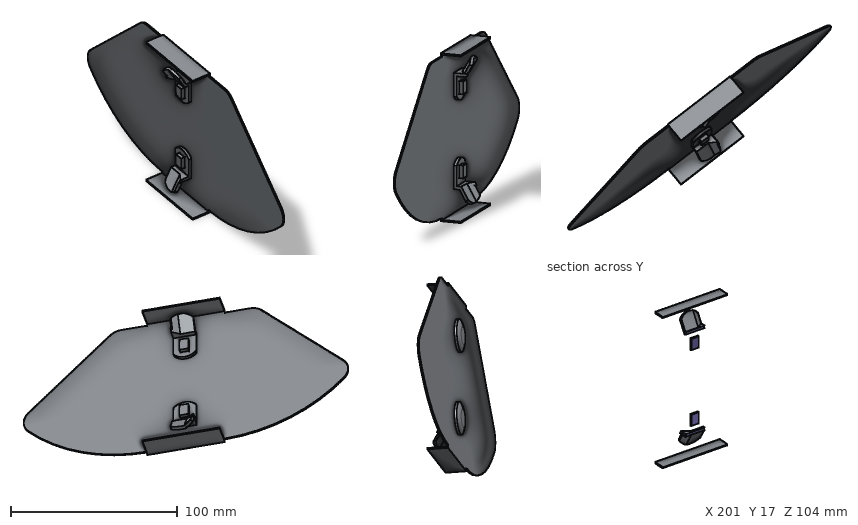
import cadquery as cq
import math

plate_thickness = 1.0
plate_half_height = 50.0
top_half_width = 44.0
side_slope_angle = 45.0
bottom_arc_radius = 100.0
corner_radius = 10.0

flange_width = 48.0
flange_tab_height = 2.0
flange_depth = 12.8
flange_thickness = 1.0

lock_height = 26.0
lock_clearance = 0.5
knob_radius = 10.0
knob_thickness = 3.0
knob_rim = 1.5
knob_flat_radius = 5.5
shaft_width = 5.5
shaft_height = 8.0
shaft_projection = 2.5

lever_width = 14.0
lever_thickness = 2.0
lever_end_radius = 9.0
lever_inner_length = 8.0
lever_outer_length = 10.0
lever_reach = 2.9
tongue_angle = 30.0
tongue_length = 12.45
crease_x = 2.0
wing_angle = 30.0

flange_half_width = flange_width / 2
flange_end_height = plate_half_height + flange_tab_height
lever_half_width = lever_width / 2
lever_back = -plate_thickness - lock_clearance
lever_front = lever_back - lever_thickness
shaft_front = lever_front - shaft_projection
knob_front = lock_clearance
knob_back = knob_front + knob_thickness

lever_end_sag = lever_end_radius - math.sqrt(lever_end_radius ** 2 - lever_half_width ** 2)

trim_size = 4 * lever_width

arm_top = lever_thickness - lever_outer_length
tongue_origin = (0, lever_front - lever_reach, arm_top)
tongue_slope = math.radians(tongue_angle)
tongue_direction = (0, -math.sin(tongue_slope), -math.cos(tongue_slope))
tongue_normal = (0, -math.cos(tongue_slope), math.sin(tongue_slope))

wing_fold = math.radians(wing_angle)
wing_run = lever_half_width - lever_thickness * math.sin(wing_fold) - crease_x
wing_rise = wing_run * math.tan(wing_fold)
wing_back = wing_rise - lever_thickness * math.cos(wing_fold)


def side_corner():
    """Point where the sloped side meets the bottom arc, on the +x half."""
    slope = math.radians(side_slope_angle)
    offset = top_half_width - flange_half_width
    along = -offset * math.cos(slope) + math.sqrt(
        bottom_arc_radius ** 2 - (offset * math.sin(slope)) ** 2
    )
    x = top_half_width + along * math.cos(slope)
    z = plate_half_height - along * math.sin(slope)
    return x, z


def arc_middle(end_x, end_z):
    """Midpoint of the bottom arc from the flange corner to the side corner."""
    run = end_x - flange_half_width
    drop = plate_half_height - end_z
    angle = math.atan2(run, drop) / 2
    x = flange_half_width + bottom_arc_radius * math.sin(angle)
    z = plate_half_height - bottom_arc_radius * math.cos(angle)
    return x, z


def make_plate():
    """Face plate with its two flanges and the shaft holes."""
    corner_x, corner_z = side_corner()
    middle_x, middle_z = arc_middle(corner_x, corner_z)
    sheet = (
        cq.Workplane("XZ")
        .moveTo(-top_half_width, plate_half_height)
        .lineTo(top_half_width, plate_half_height)
        .lineTo(corner_x, corner_z)
        .threePointArc((middle_x, middle_z), (flange_half_width, -plate_half_height))
        .lineTo(-flange_half_width, -plate_half_height)
        .threePointArc((-middle_x, middle_z), (-corner_x, corner_z))
        .close()
        .extrude(plate_thickness)
    )
    outer_edges = sheet.edges("|Y").edges("<X or >X or >Z")
    sheet = outer_edges.fillet(corner_radius)
    channel = cq.Workplane("XY").box(
        flange_width, flange_depth, 2 * flange_end_height, centered=(True, False, True)
    ).translate((0, -flange_depth, 0))
    hollow = cq.Workplane("XY").box(
        flange_width,
        flange_depth,
        2 * (flange_end_height - flange_thickness),
        centered=(True, False, True),
    ).translate((0, -flange_depth - plate_thickness, 0))
    plate = sheet.union(channel.cut(hollow))
    for z in (lock_height, -lock_height):
        plate = plate.cut(make_shaft().translate((0, 0, z)))
    return plate


def make_shaft():
    """Square shaft on the lock axis, from the knob to in front of the lever."""
    length = knob_front - shaft_front
    return cq.Workplane("XY").box(
        shaft_width, length, shaft_height, centered=(True, False, True)
    ).translate((0, shaft_front, 0))


def make_knob():
    """Domed knob with its shaft, on an axis along Y."""
    rim_back = knob_front + knob_rim
    dome_rise = knob_thickness - knob_rim
    dome_width = knob_radius - knob_flat_radius
    dome_radius = (dome_width ** 2 + dome_rise ** 2) / (2 * dome_rise)
    half_angle = math.asin(dome_width / dome_radius) / 2
    middle = (
        knob_flat_radius + dome_radius * math.sin(half_angle),
        knob_back - dome_radius * (1 - math.cos(half_angle)),
    )
    head = (
        cq.Workplane("XY")
        .moveTo(0, knob_front)
        .lineTo(knob_radius, knob_front)
        .lineTo(knob_radius, rim_back)
        .threePointArc(middle, (knob_flat_radius, knob_back))
        .lineTo(0, knob_back)
        .close()
        .revolve(360, (0, 0), (0, 1))
    )
    return head.union(make_shaft())


def rounded_strip(plane, start, end, thickness, both=False):
    """Strip of lever width from y = start to an arc-shaped end peaking at y = end on the plane."""
    toward_start = math.copysign(lever_end_sag, start - end)
    return (
        cq.Workplane(plane)
        .moveTo(-lever_half_width, start)
        .lineTo(-lever_half_width, end + toward_start)
        .threePointArc((0, end), (lever_half_width, end + toward_start))
        .lineTo(lever_half_width, start)
        .close()
        .extrude(thickness, both=both)
    )


def folded_prism(wing_width, back_points, start, end):
    """Prism along the tongue whose front is the flat strip and the folded wing."""
    front_points = [
        (-lever_half_width, 0),
        (crease_x, 0),
        (crease_x + wing_width, wing_width * math.tan(wing_fold)),
    ]
    plane = cq.Plane(tongue_origin, xDir=(1, 0, 0), normal=tongue_direction)
    section = cq.Workplane(plane).workplane(offset=start).polyline(front_points + back_points)
    return section.close().extrude(end - start)


def make_tongue():
    """Folded sheet sloping forward and down from the arm, with a rounded end."""
    fold_shift = lever_thickness * math.tan(wing_fold / 2)
    sheet_back = [
        (lever_half_width, wing_back),
        (crease_x + fold_shift, -lever_thickness),
        (-lever_half_width, -lever_thickness),
    ]
    sheet = folded_prism(wing_run, sheet_back, -lever_outer_length, tongue_length)
    plane = cq.Plane(tongue_origin, xDir=(1, 0, 0), normal=tongue_normal)
    outline = rounded_strip(plane, trim_size, -tongue_length, trim_size, both=True)
    above_arm = cq.Workplane("XY", origin=(0, lever_front, arm_top)).box(
        trim_size, trim_size, trim_size, centered=(True, True, False)
    )
    return sheet.intersect(outline).cut(above_arm)


def make_arm():
    """Horizontal step from the lever base to the tongue, ending at the tongue's front."""
    slab = cq.Workplane("XY").box(
        lever_width, trim_size, lever_thickness, centered=(True, False, False)
    ).translate((0, lever_back - trim_size, -lever_outer_length))
    solid_back = [
        (lever_half_width, -trim_size),
        (-lever_half_width, -trim_size),
    ]
    full_wing = lever_half_width - crease_x
    return slab.intersect(folded_prism(full_wing, solid_back, -trim_size, trim_size))


def make_lever():
    """Bent lever on the lock axis with its tongue pointing down."""
    base_plane = cq.Plane((0, lever_back, 0), xDir=(1, 0, 0), normal=(0, -1, 0))
    base = rounded_strip(base_plane, -lever_outer_length, lever_inner_length, lever_thickness)
    return base.union(make_arm()).union(make_tongue()).cut(make_shaft())


knobs = []
levers = []
for turn in (0, 180):
    for make_part, group in ((make_knob, knobs), (make_lever, levers)):
        lower = make_part().translate((0, 0, -lock_height))
        group.append(lower.rotate((0, 0, 0), (0, 1, 0), turn).solids().val())

plate = make_plate()
result = cq.Compound.makeCompound([plate.solids().val(), *knobs, *levers])